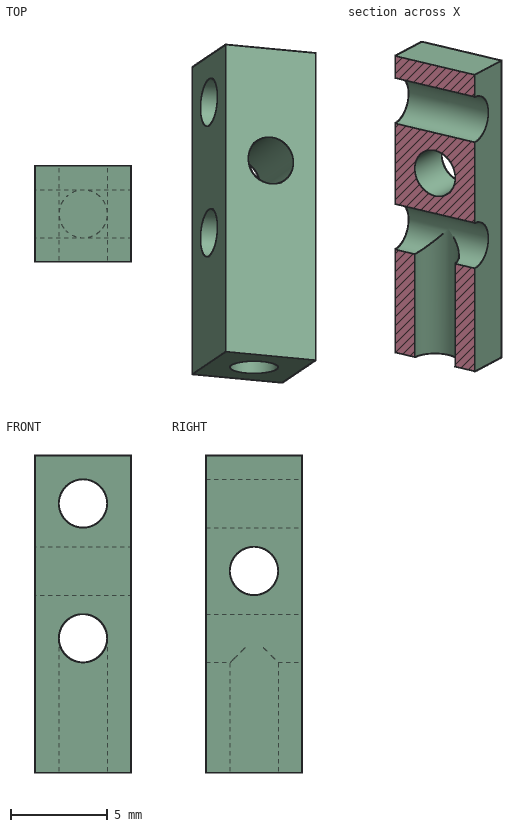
import cadquery as cq

height = 16.5
width = 5.0
hole_diameter = width / 2

front_hole_depths = (hole_diameter, 9.5)
side_hole_depth = 6.0


def cross_hole(plane, depth_below_top):
    """Cylinder passing through the bar along the normal of a vertical plane."""
    return (
        cq.Workplane(plane)
        .center(0, height - depth_below_top)
        .circle(hole_diameter / 2)
        .extrude(width, both=True)
    )


result = cq.Workplane("XY").rect(width, width).extrude(height)

for depth in front_hole_depths:
    result = result.cut(cross_hole("XZ", depth))

result = result.cut(cross_hole("YZ", side_hole_depth))

bottom_hole_depth = height - max(front_hole_depths)
bottom_hole = cq.Workplane("XY").circle(hole_diameter / 2).extrude(bottom_hole_depth)
result = result.cut(bottom_hole)